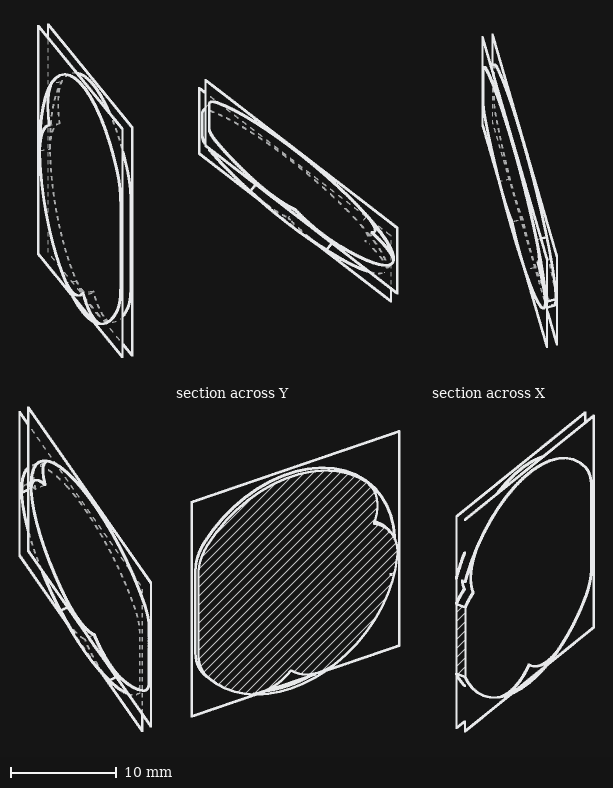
import cadquery as cq
import math

plate_width = 23.15
plate_height = 24.07
plate_thickness = 0.02
plate_spacing = 0.98

overall_height = 24.4
disc_radius = 11.93
disc_thickness = 1.1
band_wall = 0.02
disc_x = 0.8
disc_z = plate_height / 2 - overall_height + disc_radius

flat_distance = 10.35
corner_radius = 4.54
notch_half_angle = 25.6
notch_angles = (159.6, 270.0)

corner_center_distance = disc_radius - corner_radius
flat_corner_angle = math.degrees(math.acos((flat_distance - corner_radius) / corner_center_distance))
flat_half_length = corner_center_distance * math.sin(math.radians(flat_corner_angle))
cusp_distance = (
    corner_center_distance * math.cos(math.radians(notch_half_angle))
    + math.sqrt(corner_radius**2 - (corner_center_distance * math.sin(math.radians(notch_half_angle)))**2)
)


def polar(radius, angle):
    """Point at a radius and an angle in degrees, from the disc centre."""
    turn = math.radians(angle)
    return (radius * math.cos(turn), radius * math.sin(turn))


def rim_arc(outline, start, end):
    """Follow the disc rim counterclockwise between two angles."""
    return outline.threePointArc(polar(disc_radius, (start + end) / 2), polar(disc_radius, end))


def rounding_arc(outline, center_angle, start, end):
    """Follow a rounding arc between two points, bulging away from the disc centre."""
    center_x, center_z = polar(corner_center_distance, center_angle)
    toward_x = (start[0] + end[0]) / 2 - center_x
    toward_z = (start[1] + end[1]) / 2 - center_z
    stretch = corner_radius / math.hypot(toward_x, toward_z)
    middle = (center_x + stretch * toward_x, center_z + stretch * toward_z)
    return outline.threePointArc(middle, end)


def add_notch(outline, angle):
    """Turn in from the rim to the cusp of a notch and back out to the rim."""
    before = angle - notch_half_angle
    after = angle + notch_half_angle
    cusp = polar(cusp_distance, angle)
    outline = rounding_arc(outline, before, polar(disc_radius, before), cusp)
    return rounding_arc(outline, after, cusp, polar(disc_radius, after))


def disc_outline(notches):
    """Closed disc outline with a rounded flat on +X and a notch at each of the given angles."""
    flat_bottom = (flat_distance, -flat_half_length)
    flat_top = (flat_distance, flat_half_length)
    last_angle = 360 - flat_corner_angle
    outline = cq.Workplane("XZ").center(disc_x, disc_z).moveTo(*flat_bottom).lineTo(*flat_top)
    outline = rounding_arc(outline, flat_corner_angle, flat_top, polar(disc_radius, flat_corner_angle))
    rim_angle = flat_corner_angle
    for angle in notches:
        outline = rim_arc(outline, rim_angle, angle - notch_half_angle)
        outline = add_notch(outline, angle)
        rim_angle = angle + notch_half_angle
    outline = rim_arc(outline, rim_angle, last_angle)
    outline = rounding_arc(outline, last_angle, polar(disc_radius, last_angle), flat_bottom)
    return outline.close()


def thicken(outline):
    """Extrude an outline equally to both sides of the middle plane."""
    return outline.extrude(disc_thickness / 2, both=True)


def rim_band():
    """Thin band along the full rim, without notches."""
    inside = thicken(disc_outline(()).offset2D(-band_wall))
    return thicken(disc_outline(())).cut(inside)


def plate(middle_y):
    """Thin upright plate with its mid-plane at the given Y."""
    return cq.Workplane("XY").box(plate_width, plate_thickness, plate_height).translate((0, middle_y, 0))


result = thicken(disc_outline(notch_angles)).union(rim_band())
for side in (-1, 1):
    result = result.union(plate(side * plate_spacing / 2))